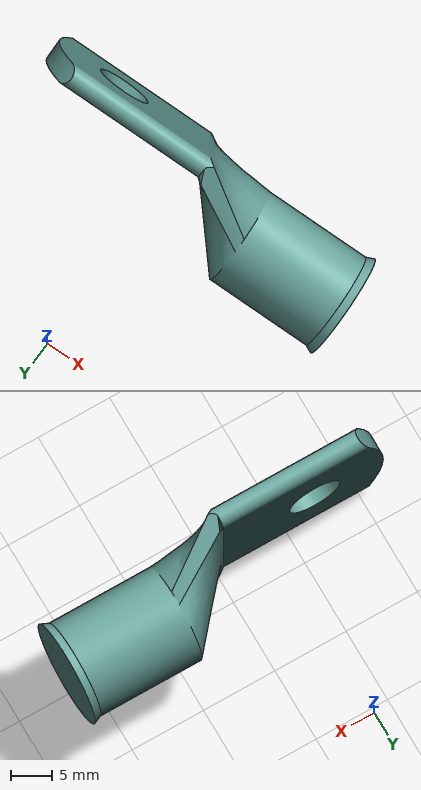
import cadquery as cq
import math

length = 46.9
palm_width = 18.55
palm_thickness = 2.8
edge_flat = 0.01
palm_end = 22.45
tip_radius = 16.9
hole_diameter = 7.05
hole_x = 9.6

barrel_start = 31.65
barrel_diameter = 12.9
side_strip_width = 1.9
flare_diameter = 13.85
flare_length = 1.1
overall_depth = 14.08

edge_radius = (palm_thickness - edge_flat) / 2
flare_start = length - flare_length
palm_back_y = -overall_depth / 2
palm_mid_y = palm_back_y + palm_thickness / 2
barrel_y = overall_depth / 2 - flare_diameter / 2


def section(x):
    """Sketch plane across the part at x: local x is Y, local y is Z."""
    return cq.Workplane("YZ", origin=(x, 0, 0))


def barrel_section(x, diameter):
    return section(x).center(barrel_y, 0).circle(diameter / 2)


def make_palm():
    """Palm with a convex tip and a through hole along Y."""
    tip = (
        cq.Workplane("XZ", origin=(0, overall_depth, 0))
        .center(tip_radius, 0)
        .circle(tip_radius)
        .extrude(2 * overall_depth)
    )
    behind_tip = (
        cq.Workplane("XY")
        .box(length, 2 * overall_depth, 2 * palm_width)
        .translate((tip_radius + length / 2, 0, 0))
    )
    hole = (
        cq.Workplane("XZ", origin=(hole_x, overall_depth, 0))
        .circle(hole_diameter / 2)
        .extrude(2 * overall_depth)
    )
    blank = section(0).center(palm_mid_y, 0).rect(palm_thickness, palm_width)
    return blank.extrude(palm_end).intersect(tip.union(behind_tip)).cut(hole)


def make_neck():
    """Ruled transition: palm faces spread into the barrel, edges narrow into side strips."""
    half_width = palm_width / 2
    front_y = palm_back_y + palm_thickness
    palm = (
        section(palm_end)
        .moveTo(palm_back_y, -half_width)
        .lineTo(palm_back_y, half_width)
        .lineTo(front_y, half_width)
        .lineTo(front_y, -half_width)
        .close()
        .wire()
        .val()
    )
    radius = barrel_diameter / 2
    corner_y = side_strip_width / 2
    corner_z = math.sqrt(radius**2 - corner_y**2)
    barrel = (
        section(barrel_start)
        .moveTo(barrel_y - corner_y, -corner_z)
        .threePointArc((barrel_y - radius, 0), (barrel_y - corner_y, corner_z))
        .threePointArc((barrel_y, radius), (barrel_y + corner_y, corner_z))
        .threePointArc((barrel_y + radius, 0), (barrel_y + corner_y, -corner_z))
        .threePointArc((barrel_y, -radius), (barrel_y - corner_y, -corner_z))
        .close()
        .wire()
        .val()
    )
    return cq.Workplane(cq.Solid.makeLoft([palm, barrel], True))


def make_barrel():
    """Round barrel ending in a conical flare."""
    tube = barrel_section(barrel_start, barrel_diameter).extrude(flare_start - barrel_start)
    flare = (
        barrel_section(flare_start, barrel_diameter)
        .workplane(offset=flare_length)
        .circle(flare_diameter / 2)
        .loft(ruled=True)
    )
    return tube.union(flare)


body = make_palm().union(make_neck()).edges("|X").fillet(edge_radius)
result = body.union(make_barrel())